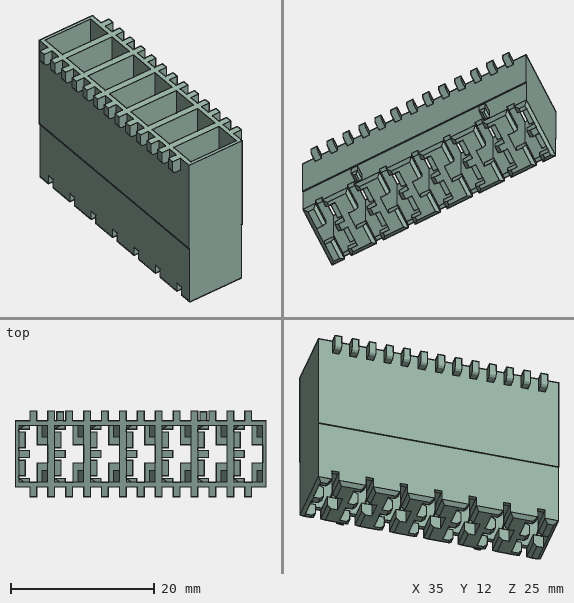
import cadquery as cq
import math

length = 35.0
height = 25.0
upper_depth = 9.28
lower_depth = 9.03
step_height = 10.0

cell_count = 7
pitch = length / cell_count
divider = 0.98
cell_length = pitch - divider
cell_depth = 7.9
floor_height = 2.0

slot_width = 1.05
foot_chamfer = 0.52

overall_depth = 12.0
peg_width = 0.98
peg_height = 2.1
peg_radius = 0.6

knob_width = 0.98
knob_reach = 5.9
knob_bottom = 1.0
knob_top = 3.85
knob_chamfer = 0.35
knob_cells = (1, 5)

outer_bar_width = 0.52
bar_length = (cell_length - slot_width) / 2
middle_bar_width = 1.0
middle_bar_slope = 30.0
left_window_end = cell_depth / 2 - outer_bar_width
right_window_depth = 2.52
left_ramp_gap = 0.35
left_ramp_width = 2.2
left_ramp_reach = 0.9
left_ramp_height = 3.32
right_ramp_width = 1.6
right_ramp_reach = 0.8
right_ramp_height = 3.22
gusset_reach_x = 0.75
gusset_height = 2.1

cell_centers = [(i - (cell_count - 1) / 2) * pitch for i in range(cell_count)]


def block(x_range, y_range, z_range):
    """Axis-aligned box given by its limits along each axis."""
    (x0, x1), (y0, y1), (z0, z1) = x_range, y_range, z_range
    return cq.Workplane("XY").box(x1 - x0, y1 - y0, z1 - z0, centered=False).translate((x0, y0, z0))


def wedge(wall_x, reach, y_range, rise):
    """Ramp on the floor: full height at the wall, falling to nothing at the given reach."""
    y0, y1 = y_range
    return (
        cq.Workplane("XZ", origin=(wall_x, y1, floor_height))
        .polyline([(0, 0), (reach, 0), (0, rise)])
        .close()
        .extrude(y1 - y0)
    )


def mirrored_range(y_range, side):
    """Y limits placed on the +Y side (side = 1) or the -Y side (side = -1)."""
    return tuple(sorted(side * y for y in y_range))


def foot(x0, x1):
    """Foot between two slots, chamfered all around its bottom face."""
    prism = block((x0, x1), (-lower_depth / 2, lower_depth / 2), (0, floor_height))
    return prism.faces("<Z").chamfer(foot_chamfer)


def make_housing():
    """Feet, lower body and slightly deeper upper body, still without cells."""
    x_range = (-length / 2, length / 2)
    body = block(x_range, (-lower_depth / 2, lower_depth / 2), (floor_height, step_height))
    body = body.union(block(x_range, (-upper_depth / 2, upper_depth / 2), (step_height, height)))
    foot_starts = [-length / 2] + [x + slot_width / 2 for x in cell_centers]
    foot_ends = [x - slot_width / 2 for x in cell_centers] + [length / 2]
    feet = [foot(x0, x1).val() for x0, x1 in zip(foot_starts, foot_ends)]
    return cq.Workplane(body.val().fuse(*feet).clean())


def make_cell_cut(x):
    """Cell cavity with its two left windows and one right window through the floor."""
    left, right = x - cell_length / 2, x + cell_length / 2
    cut = block((left, right), (-cell_depth / 2, cell_depth / 2), (floor_height, height))
    for side in (1, -1):
        y_range = mirrored_range((middle_bar_width / 2, left_window_end), side)
        cut = cut.union(block((left, x), y_range, (0, floor_height)))
    y_range = (-right_window_depth / 2, right_window_depth / 2)
    return cut.union(block((x, right), y_range, (0, floor_height)))


def make_gusset(left, side):
    """Three-sided pyramid in the cell corner, as wide in Y as the outer bar it stands on."""
    corner_y = side * cell_depth / 2
    corner = cq.Vector(left, corner_y, floor_height)
    along_x = corner + cq.Vector(gusset_reach_x, 0, 0)
    along_y = corner - cq.Vector(0, side * outer_bar_width, 0)
    top = corner + cq.Vector(0, 0, gusset_height)
    triangles = [
        (corner, along_x, along_y),
        (corner, along_x, top),
        (corner, along_y, top),
        (along_x, along_y, top),
    ]
    faces = [cq.Face.makeFromWires(cq.Wire.makePolygon(t, close=True)) for t in triangles]
    return cq.Workplane(cq.Solid.makeSolid(cq.Shell.makeShell(faces)))


def make_cell_details(x):
    """Sloped middle bar, wall ramps and corner gussets of one cell."""
    left, right = x - cell_length / 2, x + cell_length / 2
    middle_rise = bar_length * math.tan(math.radians(middle_bar_slope))
    middle_y = (-middle_bar_width / 2, middle_bar_width / 2)
    details = [wedge(left, bar_length, middle_y, middle_rise)]
    left_ramp_start = middle_bar_width / 2 + left_ramp_gap
    left_ramp_y = (left_ramp_start, left_ramp_start + left_ramp_width)
    right_ramp_y = (cell_depth / 2 - right_ramp_width, cell_depth / 2)
    for side in (1, -1):
        left_y = mirrored_range(left_ramp_y, side)
        right_y = mirrored_range(right_ramp_y, side)
        details.append(wedge(left, left_ramp_reach, left_y, left_ramp_height))
        details.append(wedge(right, -right_ramp_reach, right_y, right_ramp_height))
        details.append(make_gusset(left, side))
    return details


def make_peg(x, side):
    """Top-edge peg with its lower outer edge rounded."""
    y_range = mirrored_range((cell_depth / 2, overall_depth / 2), side)
    peg = block((x - peg_width / 2, x + peg_width / 2), y_range, (height - peg_height, height))
    outer_face = ">Y" if side > 0 else "<Y"
    return peg.faces(outer_face).edges("<Z").fillet(peg_radius)


def make_knob(x):
    """Back knob with chamfers around its exposed bottom edges."""
    x_range = (x - knob_width / 2, x + knob_width / 2)
    knob = block(x_range, (cell_depth / 2, knob_reach), (knob_bottom, knob_top))
    return knob.faces("<Z").edges(">Y or <X or >X").chamfer(knob_chamfer)


peg_positions = [cell_centers[0] + i * pitch / 2 for i in range(2 * cell_count - 1)]

cell_cuts = [make_cell_cut(x).val() for x in cell_centers]
additions = [detail.val() for x in cell_centers for detail in make_cell_details(x)]
additions += [make_peg(x, side).val() for x in peg_positions for side in (1, -1)]
additions += [make_knob(cell_centers[cell] - pitch / 4).val() for cell in knob_cells]

housing = make_housing().val().cut(*cell_cuts)
result = cq.Workplane(housing.fuse(*additions).clean()).solids()